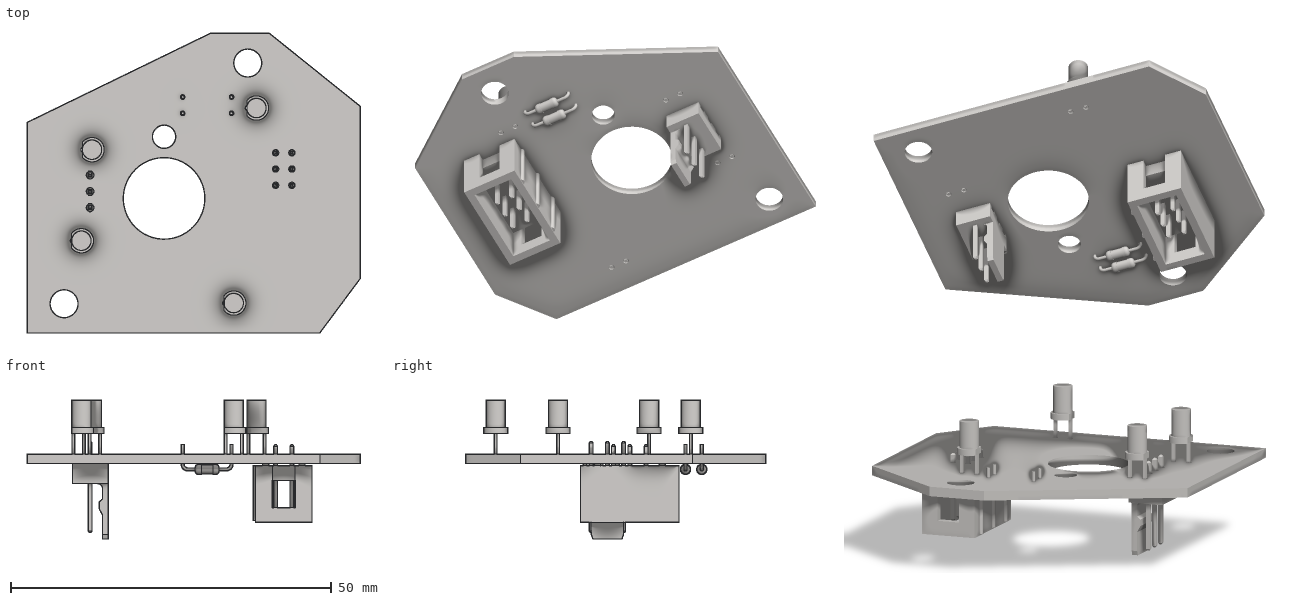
import cadquery as cq
import math


board_length = 52.05
board_width = 46.85
board_thickness = 1.5
left_side_height = 32.9
top_side_start = 28.7
top_side_end = 37.8
right_side_start = 8.55
right_side_end = 35.4
bottom_side_end = 45.7
shaft_hole_diameter = 12.7
shaft_hole_center = (21.4, 21.05)
guide_hole_diameter = 3.6
guide_hole_center = (21.4, 30.65)
mount_hole_diameter = 4.3
mount_hole_centers = [(5.8, 4.6), (34.45, 42.2)]

pitch = 2.54
pin_width = 0.6
pin_tip_width = 0.25
pin_tip_height = 0.25

led_centers = [(10.15, 28.65), (8.5, 14.4), (35.8, 35.15), (32.3, 4.7)]
led_diameter = 3.0
led_flange_diameter = 3.8
led_flat_distance = led_diameter / 2
led_flange_bottom = 4.7
led_flange_thickness = 1.0
led_top = 9.95
led_leg_width = 0.45
led_hole_diameter = 0.9

resistor_span = 3 * pitch
resistor_center_x = 28.1
resistor_back_row_y = 36.85
resistor_rows = [resistor_back_row_y, resistor_back_row_y - pitch]
resistor_axis_z = -0.9
resistor_lead_diameter = 0.5
resistor_lead_top = 3.0
resistor_bend_radius = 0.8
resistor_core_diameter = 1.45
resistor_cap_diameter = 1.6
resistor_length = 3.75
resistor_core_length = 1.75
resistor_cap_rounding = 0.5
resistor_hole_diameter = 0.7

plug_pin_x = 9.85
plug_pin_count = 3
plug_center_y = 22.15
plug_left = 7.1
plug_right = 12.7
plug_width = 3 * pitch
plug_depth = 3.1
plug_channel_width = 1.35
plug_channel_depth = 0.6
plug_pin_top = 3.5
plug_pin_bottom = -10.8
plug_hole_diameter = 1.2
tab_thickness = 0.95
tab_width = 2 * pitch
tab_bottom = -11.75
tab_corner_width = 0.25
tab_corner_height = 0.75
tab_root_radius = 0.75
latch_height = 0.5
latch_top = -5.5
latch_crest_top = -6.0
latch_crest_bottom = -7.05
latch_bottom = -8.0

header_center = (40.1, 25.6)
header_columns = 2
header_rows = 3
header_length = 8.85
header_width = 15.4
header_top = -0.3
header_bottom = -9.15
header_wall = 1.2
header_floor_bottom = -2.65
header_slot_width = 3.55
header_slot_bottom = -6.85
header_pin_top = 2.95
header_pin_bottom = -7.8
header_hole_diameter = 1.0
rib_diameter = 1.0
rib_projection = 0.35
rib_bottom = -8.9
rib_count = 3
rib_spacing = 2 * pitch
foot_diameter = 1.0
foot_spacing_x = 5.7
foot_spacing_y = (rib_count - 1) * rib_spacing


def centered_positions(count, spacing):
    """Offsets of `count` evenly spaced items about zero."""
    return [(i - (count - 1) / 2) * spacing for i in range(count)]


led_leg_points = [(x + dx, y) for x, y in led_centers for dx in centered_positions(2, pitch)]
resistor_lead_points = [
    (resistor_center_x + dx, y) for y in resistor_rows for dx in centered_positions(2, resistor_span)
]
plug_pin_points = [(plug_pin_x, plug_center_y + dy) for dy in centered_positions(plug_pin_count, pitch)]
header_pin_points = [
    (header_center[0] + dx, header_center[1] + dy)
    for dx in centered_positions(header_columns, pitch)
    for dy in centered_positions(header_rows, pitch)
]


def box_between(x_range, y_range, z_range):
    """Box spanning the given (low, high) range on each axis."""
    low, high = zip(x_range, y_range, z_range)
    size = [b - a for a, b in zip(low, high)]
    return cq.Workplane("XY").box(*size, centered=False).translate(low)


def span(center, size):
    """(low, high) range of a given size about its center."""
    return (center - size / 2, center + size / 2)


def upright_rods(points, diameter, bottom, top):
    """One vertical cylinder at each (x, y) point."""
    circles = cq.Workplane("XY").workplane(offset=bottom).pushPoints(points).circle(diameter / 2)
    return circles.extrude(top - bottom)


def make_pin(point, bottom, top):
    """Square pin with a tapered tip at each end."""
    taper = math.degrees(math.atan((pin_width - pin_tip_width) / 2 / pin_tip_height))
    shank_bottom = bottom + pin_tip_height
    shank_top = top - pin_tip_height
    section = cq.Sketch().rect(pin_width, pin_width)
    base = cq.Workplane("XY", origin=(*point, shank_bottom)).placeSketch(section)
    crown = cq.Workplane("XY", origin=(*point, shank_top)).placeSketch(section)
    pin = base.extrude(shank_top - shank_bottom)
    pin = pin.union(base.extrude(-pin_tip_height, taper=taper))
    return pin.union(crown.extrude(pin_tip_height, taper=taper))


def make_board():
    outline = [
        (0, 0),
        (bottom_side_end, 0),
        (board_length, right_side_start),
        (board_length, right_side_end),
        (top_side_end, board_width),
        (top_side_start, board_width),
        (0, left_side_height),
    ]
    plate = cq.Workplane("XY").polyline(outline).close().extrude(board_thickness)
    hole_groups = [
        ([shaft_hole_center], shaft_hole_diameter),
        ([guide_hole_center], guide_hole_diameter),
        (mount_hole_centers, mount_hole_diameter),
        (led_leg_points, led_hole_diameter),
        (resistor_lead_points, resistor_hole_diameter),
        (plug_pin_points, plug_hole_diameter),
        (header_pin_points, header_hole_diameter),
    ]
    for points, diameter in hole_groups:
        plate = plate.cut(upright_rods(points, diameter, 0, board_thickness))
    return plate


def make_led(center):
    """Flat-topped LED with a flange flattened on its -X side and two square legs."""
    x, y = center
    flange_top = led_flange_bottom + led_flange_thickness
    flange = upright_rods([center], led_flange_diameter, led_flange_bottom, flange_top)
    kept_side = box_between(
        (x - led_flat_distance, x + led_flange_diameter),
        span(y, 2 * led_flange_diameter),
        (led_flange_bottom, flange_top),
    )
    led = flange.intersect(kept_side).union(upright_rods([center], led_diameter, led_flange_bottom, led_top))
    for dx in centered_positions(2, pitch):
        leg = box_between(span(x + dx, led_leg_width), span(y, led_leg_width), (0, led_flange_bottom))
        led = led.union(leg)
    return led


def make_resistor(row_y):
    """Axial resistor whose two leads bend up through the board."""
    half_span = resistor_span / 2
    straight_end = half_span - resistor_bend_radius
    bend_mid = resistor_bend_radius * math.sin(math.pi / 4)
    bend_center_z = resistor_axis_z + resistor_bend_radius

    axis = cq.Workplane("XZ", origin=(resistor_center_x, row_y, 0))
    path = (
        axis.moveTo(-half_span, resistor_lead_top)
        .lineTo(-half_span, bend_center_z)
        .threePointArc((-straight_end - bend_mid, bend_center_z - bend_mid), (-straight_end, resistor_axis_z))
        .lineTo(straight_end, resistor_axis_z)
        .threePointArc((straight_end + bend_mid, bend_center_z - bend_mid), (half_span, bend_center_z))
        .lineTo(half_span, resistor_lead_top)
    )
    lead_start = (resistor_center_x - half_span, row_y, resistor_lead_top)
    lead = cq.Workplane("XY", origin=lead_start).circle(resistor_lead_diameter / 2).sweep(path)

    cap_length = (resistor_length - resistor_core_length) / 2
    core_left = resistor_center_x - resistor_core_length / 2
    core_right = resistor_center_x + resistor_core_length / 2
    core = cq.Workplane("YZ", origin=(core_left, row_y, resistor_axis_z))
    core = core.circle(resistor_core_diameter / 2).extrude(resistor_core_length)
    right_cap = cq.Workplane("YZ", origin=(core_right, row_y, resistor_axis_z))
    right_cap = right_cap.circle(resistor_cap_diameter / 2).extrude(cap_length)
    right_cap = right_cap.faces(">X").edges().fillet(resistor_cap_rounding)
    left_cap = right_cap.mirror("YZ", (resistor_center_x, 0, 0))
    return lead.union(core).union(right_cap).union(left_cap)


def make_plug_tab():
    """Locking tab with a latch bump, a rounded root and cut lower corners."""
    face_x = plug_right - tab_thickness
    crest_x = face_x - latch_height
    y_low, y_high = span(plug_center_y, tab_width)
    profile = (
        cq.Workplane("XZ", origin=(0, y_high, 0))
        .moveTo(plug_right, -plug_depth)
        .lineTo(face_x - tab_root_radius, -plug_depth)
        .radiusArc((face_x, -plug_depth - tab_root_radius), tab_root_radius)
        .lineTo(face_x, latch_top)
        .lineTo(crest_x, latch_crest_top)
        .lineTo(crest_x, latch_crest_bottom)
        .lineTo(face_x, latch_bottom)
        .lineTo(face_x, tab_bottom)
        .lineTo(plug_right, tab_bottom)
        .close()
    )
    front_outline = [
        (y_low, -plug_depth),
        (y_low, tab_bottom + tab_corner_height),
        (y_low + tab_corner_width, tab_bottom),
        (y_high - tab_corner_width, tab_bottom),
        (y_high, tab_bottom + tab_corner_height),
        (y_high, -plug_depth),
    ]
    front = cq.Workplane("YZ").polyline(front_outline).close().extrude(plug_right)
    return profile.extrude(tab_width).intersect(front)


def make_plug():
    plug = box_between((plug_left, plug_right), span(plug_center_y, plug_width), (-plug_depth, 0))
    for _, y in plug_pin_points:
        channel = box_between((plug_left, plug_right), span(y, plug_channel_width), (-plug_channel_depth, 0))
        plug = plug.cut(channel)
    plug = plug.union(make_plug_tab())
    for point in plug_pin_points:
        plug = plug.union(make_pin(point, plug_pin_bottom, plug_pin_top))
    return plug


def make_header():
    """Box header open at the bottom, with a slot in both end walls and ribs on its -X side."""
    x, y = header_center
    cavity_length = header_length - 2 * header_wall
    cavity_width = header_width - 2 * header_wall
    left = x - header_length / 2

    header = box_between(span(x, header_length), span(y, header_width), (header_bottom, header_top))
    header = header.cut(
        box_between(span(x, cavity_length), span(y, cavity_width), (header_bottom, header_floor_bottom))
    )
    wall_centers = [y + dy for dy in centered_positions(2, header_width - header_wall)]
    for wall_y in wall_centers:
        slot = box_between(
            span(x, header_slot_width), span(wall_y, header_wall), (header_slot_bottom, header_top)
        )
        header = header.cut(slot)

    rib_x = left - rib_projection + rib_diameter / 2
    rib_points = [(rib_x, y + dy) for dy in centered_positions(rib_count, rib_spacing)]
    header = header.union(upright_rods(rib_points, rib_diameter, rib_bottom, header_top))

    foot_points = [
        (x + dx, y + dy)
        for dx in centered_positions(2, foot_spacing_x)
        for dy in centered_positions(2, foot_spacing_y)
    ]
    header = header.union(upright_rods(foot_points, foot_diameter, header_top, 0))
    for point in header_pin_points:
        header = header.union(make_pin(point, header_pin_bottom, header_pin_top))
    return header


board = make_board()
leds = [make_led(center) for center in led_centers]
resistors = [make_resistor(row_y) for row_y in resistor_rows]
plug = make_plug()
header = make_header()

result = cq.Compound.makeCompound(
    [
        board.val(),
        *[led.val() for led in leds],
        *[resistor.val() for resistor in resistors],
        plug.val(),
        header.val(),
    ]
)